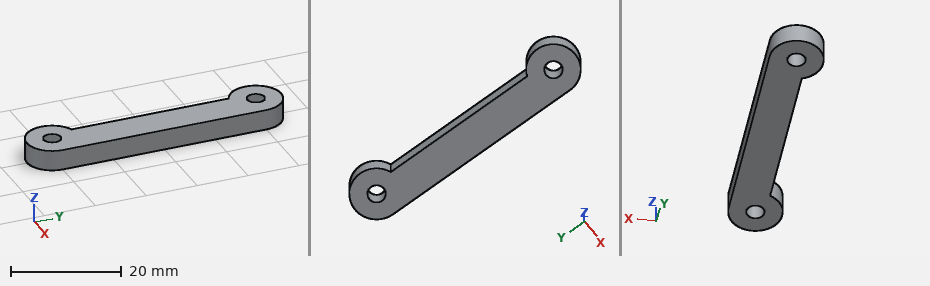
import cadquery as cq

thickness = 4.0
hole_spacing = 40.0
eye_diameter = 9.9
hole_diameter = 3.3
bar_width = 6.8

eye_radius = eye_diameter / 2
hole_centres = [(0, -hole_spacing / 2), (0, hole_spacing / 2)]


def make_bar():
    """Straight bar between the eyes, with its +X side tangent to both of them."""
    bar_centre_x = eye_radius - bar_width / 2
    return (
        cq.Workplane("XY")
        .center(bar_centre_x, 0)
        .rect(bar_width, hole_spacing)
        .extrude(thickness)
    )


def make_cylinders(diameter):
    """Full-thickness cylinders of one diameter at both hole centres."""
    return (
        cq.Workplane("XY")
        .pushPoints(hole_centres)
        .circle(diameter / 2)
        .extrude(thickness)
    )


eyes = make_cylinders(eye_diameter)
holes = make_cylinders(hole_diameter)

result = make_bar().union(eyes).cut(holes).clean()